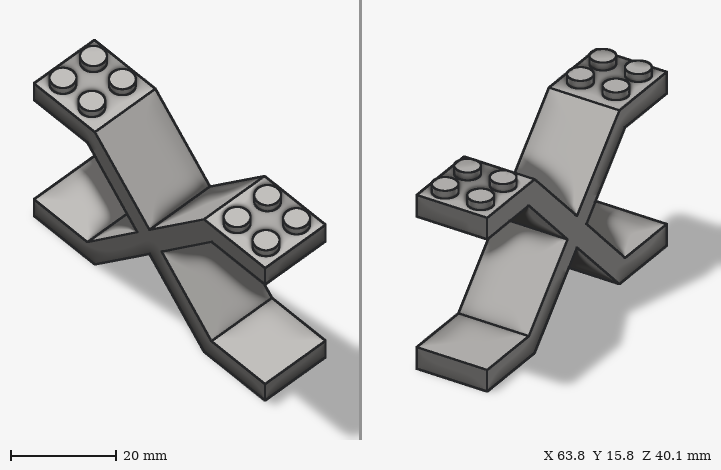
import cadquery as cq

length = 63.8
width = 15.8
frame_height = 38.4

plate_thickness = 4.8
plate_top_length = 16.85
plate_inner_length = 14.8

crossing_half_height = 3.5
crossing_half_width = 3.4

stud_diameter = 5.1
stud_height = 1.7
stud_pitch = 8.0
stud_end_offset = 3.9

half_length = length / 2
half_height = frame_height / 2
outer_bend_x = half_length - plate_top_length
inner_bend_x = half_length - plate_inner_length
inner_face_z = half_height - plate_thickness


def make_frame():
    """X-shaped profile with level ends, centred on the origin."""
    upper_right = [
        (0, crossing_half_height),
        (outer_bend_x, half_height),
        (half_length, half_height),
        (half_length, inner_face_z),
        (inner_bend_x, inner_face_z),
    ]
    right = upper_right + [(crossing_half_width, 0)]
    right += [(x, -z) for x, z in reversed(upper_right)]
    left = [(-x, -z) for x, z in right[1:-1]]
    return cq.Workplane("XZ").polyline(right + left).close().extrude(width / 2, both=True)


def make_studs():
    """Round studs on top of both upper plates."""
    outer_x = half_length - stud_end_offset
    inner_x = outer_x - stud_pitch
    centres = [
        (x, y)
        for x in (-outer_x, -inner_x, inner_x, outer_x)
        for y in (-stud_pitch / 2, stud_pitch / 2)
    ]
    studs = cq.Workplane("XY").workplane(offset=half_height).pushPoints(centres)
    return studs.circle(stud_diameter / 2).extrude(stud_height)


result = make_frame().union(make_studs())